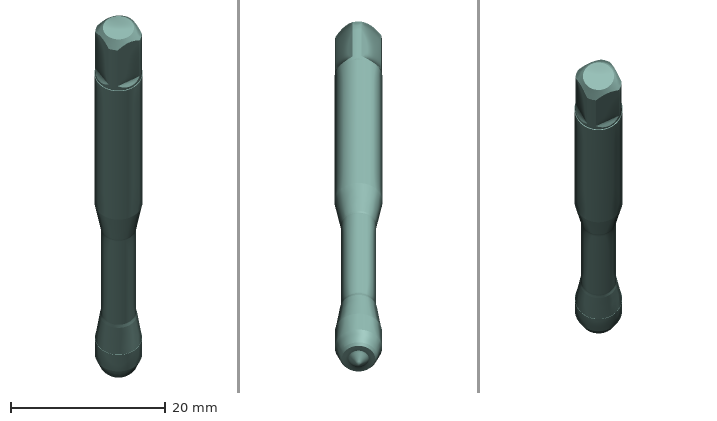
import cadquery as cq

total_length = 67.4
shank_radius = 6.3 / 2
neck_radius = 4.6 / 2

drive_flats = 5.05
drive_radius = 6.05 / 2
drive_shoulder_z = 58.5
flat_bottom_z = 59.4
drive_top_radius = 2.0
drive_chamfer_height = 1.0

shank_bottom_z = 33.35
shank_taper_end_z = 28.6
shank_taper_end_radius = 2.35
neck_top_z = 28.3
neck_bottom_z = 11.85
head_taper_top_z = 11.4
head_taper_top_radius = 2.4
head_taper_bottom_radius = 6.05 / 2

head_radius = 6.1 / 2
head_top_z = 6.8
lead_top_z = 3.6
lead_bottom_z = 1.75
lead_bottom_radius = 2.4
nose_z = 1.35
nose_radius = 2.15
point_radius = nose_z


def revolve_profile(points):
    """Turn a half profile of (radius, z) points about the Z axis."""
    return cq.Workplane("XZ").polyline(points).close().revolve(360, (0, 0, 0), (0, 1, 0))


def drive_flat_cutter(angle):
    """Material removed beside one flat, ending in a 45 degree run-out at its foot."""
    flat_distance = drive_flats / 2
    outer = 2 * shank_radius
    runout_z = flat_bottom_z - (outer - flat_distance)
    profile = [
        (flat_distance, total_length),
        (flat_distance, flat_bottom_z),
        (outer, runout_z),
        (outer, total_length),
    ]
    keep = cq.Workplane("XY").workplane(offset=drive_shoulder_z).circle(2 * outer).extrude(total_length)
    cutter = cq.Workplane("XZ").polyline(profile).close().extrude(shank_radius, both=True)
    return cutter.intersect(keep).rotate((0, 0, 0), (0, 0, 1), angle)


def make_shank():
    """Square drive, cylindrical shank, neck and the taper that widens to the head."""
    shank = revolve_profile([
        (0, total_length),
        (drive_top_radius, total_length),
        (drive_radius, total_length - drive_chamfer_height),
        (drive_radius, drive_shoulder_z),
        (shank_radius, drive_shoulder_z),
        (shank_radius, shank_bottom_z),
        (shank_taper_end_radius, shank_taper_end_z),
        (neck_radius, neck_top_z),
        (neck_radius, neck_bottom_z),
        (head_taper_top_radius, head_taper_top_z),
        (head_taper_bottom_radius, head_top_z),
        (0, head_top_z),
    ])
    for angle in (0, 90, 180, 270):
        shank = shank.cut(drive_flat_cutter(angle))
    return shank


def make_cutting_head():
    """Cylindrical head with a tapered lead, a chamfered nose and a conical point."""
    return revolve_profile([
        (0, head_top_z),
        (head_radius, head_top_z),
        (head_radius, lead_top_z),
        (lead_bottom_radius, lead_bottom_z),
        (nose_radius, nose_z),
        (point_radius, nose_z),
        (0, 0),
    ])


shank = make_shank()
cutting_head = make_cutting_head()

result = cq.Compound.makeCompound([shank.val(), cutting_head.val()])